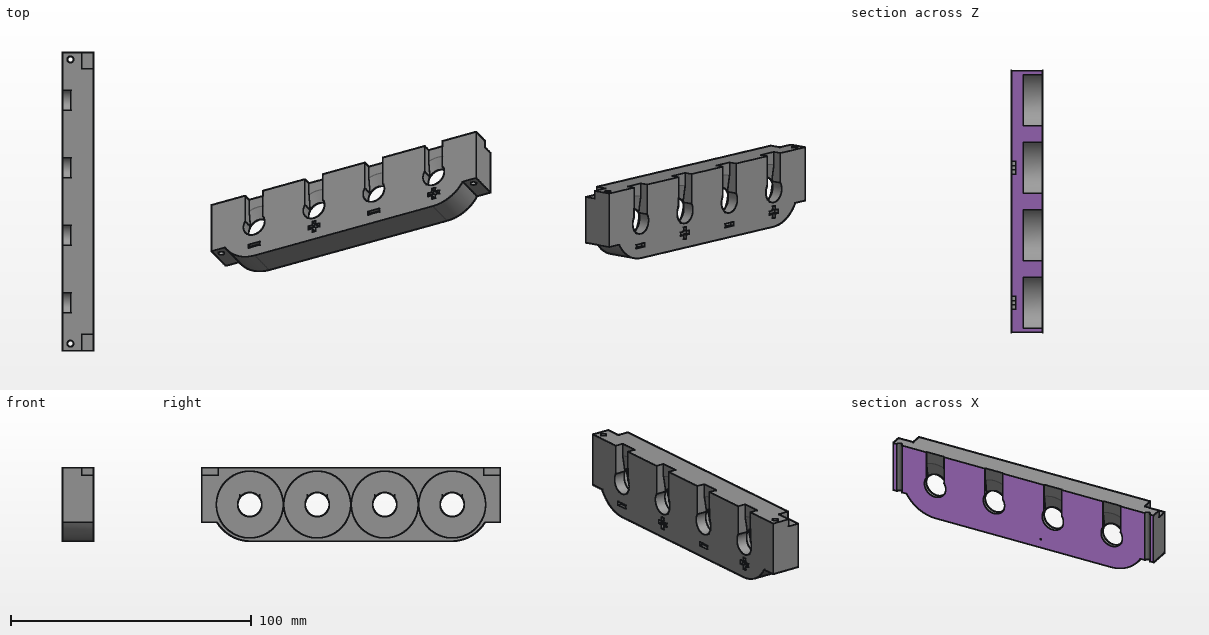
import cadquery as cq

THICKNESS = 13.0
LENGTH = 124.0
HEIGHT = 30.6

CELL_COUNT = 4
CELL_PITCH = 28.0
CELL_Z = HEIGHT / 2
ROW_START = -CELL_PITCH * (CELL_COUNT - 1) / 2
CELL_CENTRES = [ROW_START + i * CELL_PITCH for i in range(CELL_COUNT)]

CORNER_RADIUS = 16.4
CORNER_CENTRE_Y = 41.7
LEDGE_Z = 7.9

WEB = 5.0
SOCKET_RADIUS = 13.9
HOLE_RADIUS = 5.0

SLOT_WIDTH = 8.3
SLOT_DEPTH = 3.6
CONE_RADIUS = 10.7
CONE_END = 4.7

SEAT_X = 5.0
SEAT_Y = 7.0
SEAT_Z = 3.2
PIN_DIAMETER = 2.5
PIN_X = 3.3
PIN_INSET = 3.0

SIGN_LENGTH = 5.3
SIGN_STROKE = 1.6
SIGN_DEPTH = 1.7
PLUS_HEIGHT = 5.1
PLUS_Z = 6.2
MINUS_Z = 5.3


def box(x_size, y_size, z_size, x_min, y_mid, z_min):
    """Box placed by its low X face, its middle in Y and its low Z face."""
    return cq.Workplane("XY").box(x_size, y_size, z_size, centered=(False, True, False)).translate(
        (x_min, y_mid, z_min)
    )


def cylinder_along_x(radius, x_min, x_max, y, z):
    """Cylinder along X whose axis passes through the given Y and Z."""
    return cq.Workplane("YZ", origin=(x_min, y, z)).circle(radius).extrude(x_max - x_min)


def body():
    """Upper bar joined to a lower part with rounded corners."""
    bar = box(THICKNESS, LENGTH, HEIGHT - LEDGE_Z, 0, 0, LEDGE_Z)
    lower = box(THICKNESS, 2 * CORNER_CENTRE_Y, HEIGHT, 0, 0, 0)
    for y in (-CORNER_CENTRE_Y, CORNER_CENTRE_Y):
        lower = lower.union(cylinder_along_x(CORNER_RADIUS, 0, THICKNESS, y, CORNER_RADIUS))
    envelope = box(THICKNESS, LENGTH, HEIGHT, 0, 0, 0)
    return bar.union(lower).intersect(envelope)


def contact_slot(y):
    """Open-topped slot, deepened conically towards the contact hole."""
    above_axis = HEIGHT - CELL_Z
    slot = box(SLOT_DEPTH, SLOT_WIDTH, above_axis, 0, y, CELL_Z)
    cone = (
        cq.Workplane("XY")
        .polyline([(SLOT_DEPTH, 0), (SLOT_DEPTH, CONE_RADIUS), (CONE_END, HOLE_RADIUS), (CONE_END, 0)])
        .close()
        .revolve(360, (0, 0, 0), (1, 0, 0))
        .translate((0, y, CELL_Z))
    )
    lead_in = cone.intersect(box(WEB, SLOT_WIDTH, above_axis, 0, y, CELL_Z))
    return slot.union(lead_in)


def minus_sign(y, z):
    """Horizontal stroke centred on the given point."""
    return box(SIGN_DEPTH, SIGN_LENGTH, SIGN_STROKE, 0, y, z - SIGN_STROKE / 2)


def plus_sign(y, z):
    """Horizontal and vertical strokes crossing at the given point."""
    upright = box(SIGN_DEPTH, SIGN_STROKE, PLUS_HEIGHT, 0, y, z - PLUS_HEIGHT / 2)
    return minus_sign(y, z).union(upright)


result = body()

for index, y in enumerate(CELL_CENTRES):
    result = result.cut(cylinder_along_x(HOLE_RADIUS, 0, WEB, y, CELL_Z))
    result = result.cut(cylinder_along_x(SOCKET_RADIUS, WEB, THICKNESS, y, CELL_Z))
    result = result.cut(contact_slot(y))
    if index % 2 == 0:
        result = result.cut(plus_sign(y, PLUS_Z))
    else:
        result = result.cut(minus_sign(y, MINUS_Z))

for side in (-1, 1):
    seat_y = side * (LENGTH - SEAT_Y) / 2
    pin_y = side * (LENGTH / 2 - PIN_INSET)
    result = result.cut(box(SEAT_X, SEAT_Y, SEAT_Z, THICKNESS - SEAT_X, seat_y, HEIGHT - SEAT_Z))
    result = result.cut(
        cq.Workplane("XY", origin=(PIN_X, pin_y, 0)).circle(PIN_DIAMETER / 2).extrude(HEIGHT)
    )